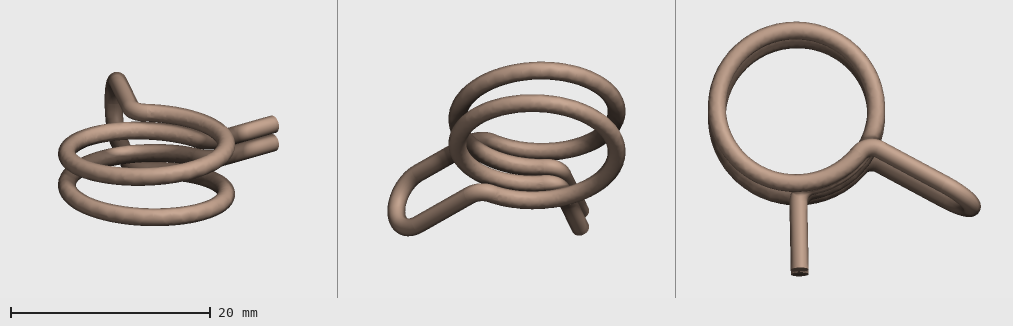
import cadquery as cq
import math


wire_diameter = 1.8
coil_radius = 7.98
bend_radius = 1.68
length = 27.15
height = 8.0
loop_leg_angle = 120
free_leg_angle = 60
free_reach = 16.45
free_leg_height = 0.98

wire_radius = wire_diameter / 2
loop_leg_height = height / 2 - wire_radius
loop_radius = loop_leg_height
tip_y = length - coil_radius - wire_diameter
loop_reach = tip_y / math.sin(math.radians(loop_leg_angle))
loop_leg_reach = loop_reach - loop_radius
bend_center_reach = coil_radius + bend_radius
bend_span = math.degrees(math.asin(bend_radius / bend_center_reach))
bend_leg_reach = math.sqrt(bend_center_reach**2 - bend_radius**2)
coil_low_angle = free_leg_angle + bend_span
coil_high_angle = loop_leg_angle - bend_span + 360


def polar(reach, angle, z):
    """Point at a distance and angle (degrees) about the coil axis."""
    a = math.radians(angle)
    return cq.Vector(reach * math.cos(a), reach * math.sin(a), z)


def leg_bend(coil_angle, leg_angle, z):
    """Horizontal arc from the coil out to a radial leg."""
    coil_point = polar(coil_radius, coil_angle, z)
    leg_point = polar(bend_leg_reach, leg_angle, z)
    center = polar(bend_center_reach, coil_angle, z)
    toward_middle = ((coil_point + leg_point) * 0.5 - center).normalized()
    middle = center + toward_middle * bend_radius
    return cq.Edge.makeThreePointArc(coil_point, middle, leg_point)


def leg_line(angle, reach, z):
    """Straight radial stretch beyond a bend."""
    return cq.Edge.makeLine(polar(bend_leg_reach, angle, z), polar(reach, angle, z))


def half_loop():
    """Quarter circle from the end of the loop leg down to the symmetry plane."""
    diagonal = loop_radius * math.sqrt(0.5)
    return cq.Edge.makeThreePointArc(
        polar(loop_leg_reach, loop_leg_angle, loop_leg_height),
        polar(loop_leg_reach + diagonal, loop_leg_angle, diagonal),
        polar(loop_reach, loop_leg_angle, 0),
    )


def wire_along(path, coil_angle, z, frenet=False):
    """Round wire along a path that starts on the coil, with its end face in the radial plane there."""
    radial_plane = cq.Plane(
        origin=polar(coil_radius, coil_angle, z),
        xDir=cq.Vector(0, 0, 1),
        normal=polar(1, coil_angle + 90, 0),
    )
    return cq.Workplane(radial_plane).circle(wire_radius).sweep(cq.Workplane(path), isFrenet=frenet)


def coil():
    """Helical wire climbing counter-clockwise from the free leg to the loop leg."""
    rise = loop_leg_height - free_leg_height
    pitch = rise * 360 / (coil_high_angle - coil_low_angle)
    helix = (
        cq.Wire.makeHelix(pitch, rise, coil_radius)
        .rotate(cq.Vector(0, 0, 0), cq.Vector(0, 0, 1), coil_low_angle)
        .translate(cq.Vector(0, 0, free_leg_height))
    )
    return wire_along(helix, coil_low_angle, free_leg_height, frenet=True)


def loop_leg():
    """Bend, straight leg and upper half of the U-bend."""
    path = cq.Wire.assembleEdges(
        [
            leg_bend(coil_high_angle, loop_leg_angle, loop_leg_height),
            leg_line(loop_leg_angle, loop_leg_reach, loop_leg_height),
            half_loop(),
        ]
    )
    return wire_along(path, coil_high_angle, loop_leg_height)


def free_leg():
    """Bend and straight leg with a square-cut end."""
    path = cq.Wire.assembleEdges(
        [
            leg_bend(coil_low_angle, free_leg_angle, free_leg_height),
            leg_line(free_leg_angle, free_reach, free_leg_height),
        ]
    )
    return wire_along(path, coil_low_angle, free_leg_height)


upper_half = coil().union(loop_leg()).union(free_leg())
result = upper_half.union(upper_half.mirror("XY"))